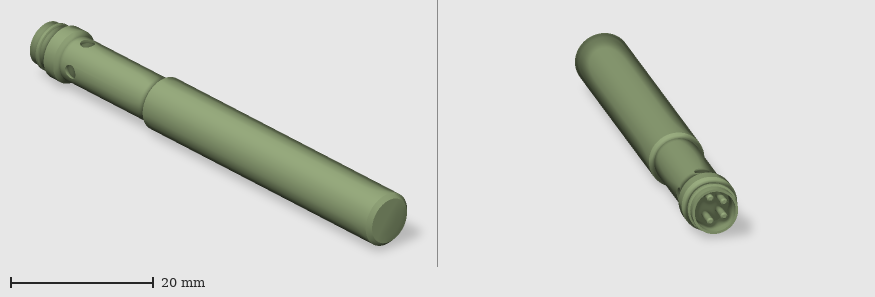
import cadquery as cq

length = 70.0
body_radius = 4.0
edge_chamfer = 0.6

sleeve_radius = 3.3
ridge_radius = 3.6
ridge_start = 1.3
ridge_end = 2.0
ridge_slope = 0.15
collar_start = 2.95
collar_end = 6.15
socket_radius = 2.95
socket_depth = 4.2

pin_pair = [(0.5, 1.7), (-1.5, 1.05)]
pin_radius = 0.5
pin_length = 3.4
pin_tip_chamfer = 0.2

stem_radius = body_radius - edge_chamfer
body_start = 23.2
window_place = 8.3
window_radius = 1.05
window_depth = 0.55
window_count = 4


def make_housing():
    """Turn the outer shape about the X axis."""
    profile = [
        (0, 0),
        (0, sleeve_radius),
        (ridge_start, sleeve_radius),
        (ridge_start + ridge_slope, ridge_radius),
        (ridge_end - ridge_slope, ridge_radius),
        (ridge_end, sleeve_radius),
        (collar_start, sleeve_radius),
        (collar_start, stem_radius),
        (collar_start + edge_chamfer, body_radius),
        (collar_end - edge_chamfer, body_radius),
        (collar_end, stem_radius),
        (body_start, stem_radius),
        (body_start + edge_chamfer, body_radius),
        (length - edge_chamfer, body_radius),
        (length, stem_radius),
        (length, 0),
    ]
    return cq.Workplane("XY").polyline(profile).close().revolve(360, (0, 0, 0), (1, 0, 0))


def make_socket():
    return cq.Workplane("YZ").circle(socket_radius).extrude(socket_depth)


def make_pins():
    """Pins stand on the socket floor, with chamfered tips facing -X."""
    places = pin_pair + [(y, -z) for y, z in pin_pair]
    return (
        cq.Workplane("YZ", origin=(socket_depth - pin_length, 0, 0))
        .pushPoints(places)
        .circle(pin_radius)
        .extrude(pin_length)
        .faces("<X")
        .chamfer(pin_tip_chamfer)
    )


def make_windows():
    """Flat-bottomed round recesses spaced evenly around the stem."""
    window = (
        cq.Workplane("XY", origin=(window_place, 0, stem_radius - window_depth))
        .circle(window_radius)
        .extrude(2 * window_depth)
    )
    windows = cq.Workplane("XY")
    for index in range(window_count):
        angle = index * 360 / window_count
        windows = windows.add(window.rotate((0, 0, 0), (1, 0, 0), angle))
    return windows.combine()


result = make_housing().cut(make_socket()).union(make_pins()).cut(make_windows())